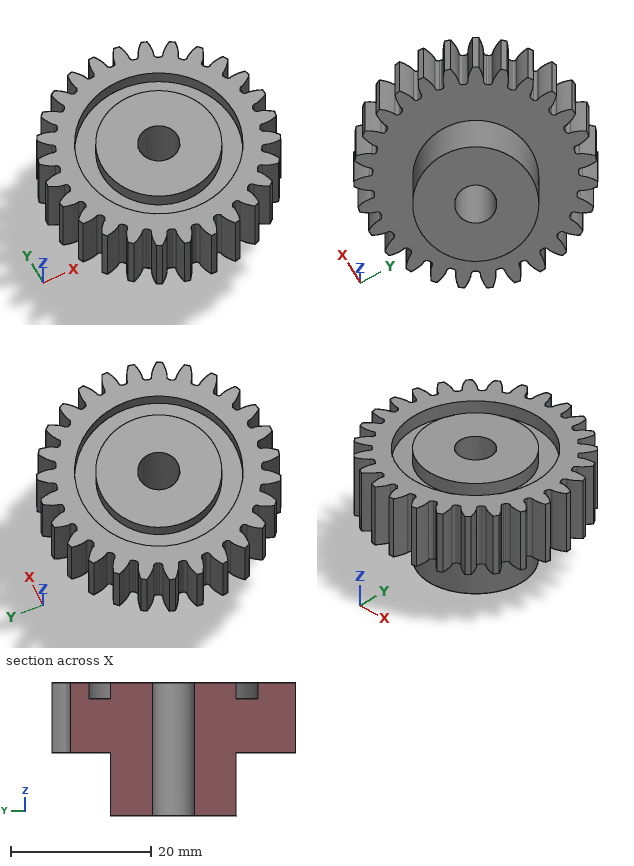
import cadquery as cq
import math

overall_width = 34.78
tooth_count = 27
pressure_angle = math.radians(20)
dedendum_factor = 1.25
root_fillet_factor = 0.42
overall_height = 19.0
hub_length = 9.0
hub_diameter = 17.98
recess_diameter = 24.0
recess_depth = 2.25
bore_diameter = 5.98
involute_steps = 8

gear_width = overall_height - hub_length


def involute(angle):
    return math.tan(angle) - angle


pitch_angle = 2 * math.pi / tooth_count
tip_pressure_angle = math.acos(math.cos(pressure_angle) * tooth_count / (tooth_count + 2))
base_half_angle = pitch_angle / 4 + involute(pressure_angle)
tip_half_angle = base_half_angle - involute(tip_pressure_angle)

corner_angle = pitch_angle / 4 - tip_half_angle
tip_radius = overall_width / 2 / math.cos(corner_angle)
module = 2 * tip_radius / (tooth_count + 2)
pitch_radius = module * tooth_count / 2
base_radius = pitch_radius * math.cos(pressure_angle)
root_radius = pitch_radius - dedendum_factor * module

root_fillet = root_fillet_factor * module
fillet_center_radius = root_radius + root_fillet
fillet_turn = math.asin(root_fillet / fillet_center_radius)
fillet_top_radius = fillet_center_radius * math.cos(fillet_turn)
fillet_half_angle = base_half_angle + fillet_turn


def polar(radius, angle):
    return (radius * math.cos(angle), radius * math.sin(angle))


def flank_points(tooth_angle, side):
    """Involute flank from base circle to tip; side is -1 or +1 across the tooth."""
    points = []
    for step in range(involute_steps + 1):
        roll_angle = math.tan(tip_pressure_angle) * step / involute_steps
        local_pressure_angle = math.atan(roll_angle)
        radius = base_radius / math.cos(local_pressure_angle)
        half_angle = base_half_angle - involute(local_pressure_angle)
        points.append(polar(radius, tooth_angle + side * half_angle))
    return points


def fillet_middle(tooth_angle, side):
    """Middle point of the root fillet arc on one side of a tooth."""
    center_x, center_y = polar(fillet_center_radius, tooth_angle + side * fillet_half_angle)
    direction = tooth_angle + side * (base_half_angle + fillet_turn / 2 - 3 * math.pi / 4)
    offset_x, offset_y = polar(root_fillet, direction)
    return (center_x + offset_x, center_y + offset_y)


def add_tooth(outline, tooth_angle):
    """Continue the outline over one tooth and along the root to the next."""
    rising = flank_points(tooth_angle, -1)
    falling = flank_points(tooth_angle, 1)[::-1]
    next_tooth_angle = tooth_angle + pitch_angle
    return (
        outline
        .threePointArc(
            fillet_middle(tooth_angle, -1),
            polar(fillet_top_radius, tooth_angle - base_half_angle),
        )
        .lineTo(*rising[0])
        .spline(rising[1:], includeCurrent=True)
        .threePointArc(polar(tip_radius, tooth_angle), falling[0])
        .spline(falling[1:], includeCurrent=True)
        .lineTo(*polar(fillet_top_radius, tooth_angle + base_half_angle))
        .threePointArc(
            fillet_middle(tooth_angle, 1),
            polar(root_radius, tooth_angle + fillet_half_angle),
        )
        .threePointArc(
            polar(root_radius, tooth_angle + pitch_angle / 2),
            polar(root_radius, next_tooth_angle - fillet_half_angle),
        )
    )


def toothed_rim():
    """Spur gear blank standing on the XY plane."""
    first_tooth_angle = -math.pi / 2
    outline = cq.Workplane("XY").moveTo(*polar(root_radius, first_tooth_angle - fillet_half_angle))
    for tooth in range(tooth_count):
        outline = add_tooth(outline, first_tooth_angle + tooth * pitch_angle)
    return outline.close().extrude(gear_width)


def ring_recess():
    """Annular pocket in the top face, leaving a central boss as wide as the hub."""
    return (
        cq.Workplane("XY", origin=(0, 0, gear_width - recess_depth))
        .circle(recess_diameter / 2)
        .circle(hub_diameter / 2)
        .extrude(recess_depth)
    )


def cylinder_from_hub_end(diameter, height):
    return cq.Workplane("XY", origin=(0, 0, -hub_length)).circle(diameter / 2).extrude(height)


hub = cylinder_from_hub_end(hub_diameter, hub_length)
bore = cylinder_from_hub_end(bore_diameter, overall_height)

result = toothed_rim().cut(ring_recess()).union(hub).cut(bore)